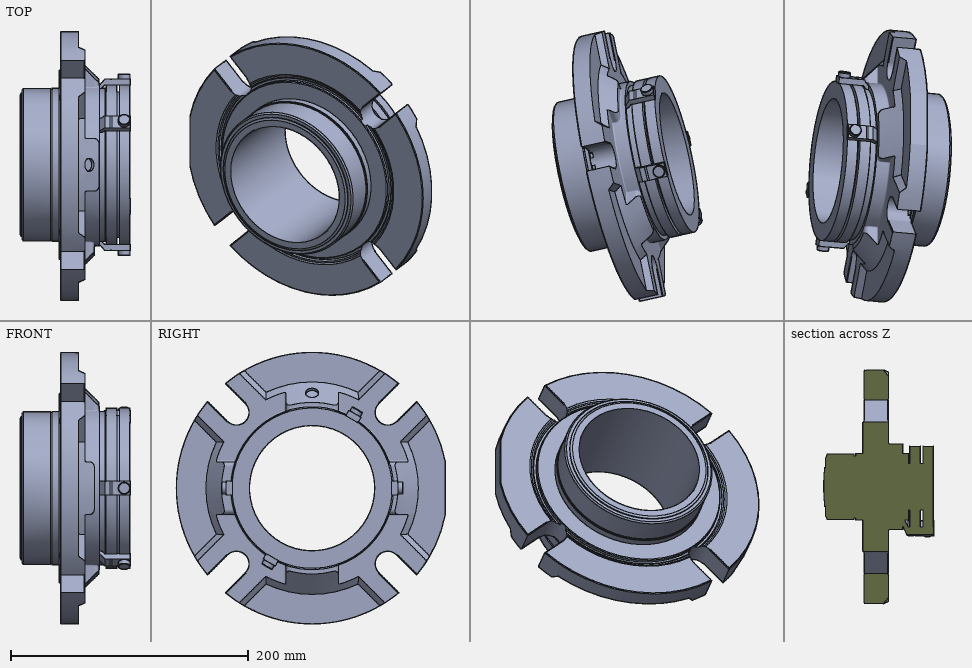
import cadquery as cq
import math


tolerance = 0.02

bore_radius = 52.5
sleeve_radius = 129.0 / 2
nut_radius = 128.5 / 2
sleeve_end_x = 71.5
nose_land_radius = 58.2
nose_radius = 60.3
nose_length = 1.5
nose_bevel = 0.7
shoulder_radius = 63.0
shoulder_bevel_length = 1.4
nut_end_x = 25.5
groove_width = 1.4
groove_radius = 63.7

flange_radius = 114.2
flange_front_x = 33.8
flange_back_x = 49.0
flange_bevel = 0.7
beyond_rim = 2 * flange_radius
flat_y = 112.0
pilot_radius = 158.7 / 2
pilot_front_x = 32.9
pilot_base_radius = 160.0 / 2
seal_groove_radius = 82.2
seal_groove_floor_x = 36.3
seal_groove_bevel = 1.1
recess_radius = 84.7
recess_bevel_radius = 86.0
recess_depth = 0.7

slot_count = 4
slot_width = 21.0
slot_centre_radius = 90.0
slot_bevel = 0.7
pad_back_x = 54.5
pad_base_width = 59.1
pad_top_width = 49.8

hub_root_x = 41.0
cone_base_radius = 89.3
collar_radius = 68.3
collar_end_x = 66.7
block_width = 44.3
block_end_x = 66.2
short_block_end_x = 62.3
block_corner_fillet = 4.0
block_foot_fillet = 1.1
port_diameter = 11.0
port_x = 58.2
port_depth = 2.7

ring_radius = 67.4
ring_starts = (72.5, 83.3)
ring_ends = (81.3, 92.3)
neck_radius = 122.6 / 2

clip_angles = (0, 60, 180, 240)
clip_width = 11.9
clip_inner_radius = 67.0
clip_outer_radius = 72.2
clip_bend_x = 71.2
clip_end_x = 92.7
clip_foot_x = 66.7
clip_foot_length = 1.4
clip_foot_sink = 0.7
clip_groove_start_x = 75.5
clip_groove_end_x = 77.2
clip_groove_depth = 0.2
screw_diameter = 10.0
screw_head_radius = 76.3
screw_x = 87.5
screw_bevel = 0.5


def revolve_profile(points):
    """Turn an (x, radius) outline about the X axis."""
    return cq.Workplane("XY").polyline(points).close().revolve(360, (0, 0, 0), (1, 0, 0))


def disc(start_x, end_x, radius):
    """Solid cylinder on the X axis."""
    return cq.Workplane("YZ").workplane(offset=start_x).circle(radius).extrude(end_x - start_x)


def turn(body, angle):
    """Turn a body about the X axis; zero is the +Y direction."""
    return body.rotate((0, 0, 0), (1, 0, 0), angle)


def slot_angles():
    step = 360 / slot_count
    return [step / 2 + step * i for i in range(slot_count)]


def make_sleeve():
    return revolve_profile([
        (0, 0),
        (0, nose_land_radius),
        (nose_bevel, nose_radius),
        (nose_length, nose_radius),
        (nose_length, shoulder_radius),
        (nose_length + shoulder_bevel_length, nut_radius),
        (nut_end_x, nut_radius),
        (nut_end_x, groove_radius),
        (nut_end_x + groove_width, groove_radius),
        (nut_end_x + groove_width, sleeve_radius),
        (sleeve_end_x, sleeve_radius),
        (sleeve_end_x, 0),
    ])


def make_pad():
    """Bar with sloping sides along +Y; it runs past the rim and is trimmed with the flange."""
    return cq.Workplane("XZ").polyline([
        (flange_back_x, -pad_base_width / 2),
        (pad_back_x, -pad_top_width / 2),
        (pad_back_x, pad_top_width / 2),
        (flange_back_x, pad_base_width / 2),
    ]).close().extrude(-beyond_rim)


def make_slot():
    """Open slot along +Y with a round inner end and bevelled straight edges."""
    half_width = slot_width / 2
    mouth_half_width = half_width + slot_bevel
    tip = cq.Workplane("YZ").center(slot_centre_radius, 0).circle(half_width).extrude(pad_back_x)
    run = cq.Workplane("XZ", origin=(0, slot_centre_radius, 0)).polyline([
        (flange_front_x, -mouth_half_width),
        (flange_front_x + slot_bevel, -half_width),
        (pad_back_x - slot_bevel, -half_width),
        (pad_back_x, -mouth_half_width),
        (pad_back_x, mouth_half_width),
        (pad_back_x - slot_bevel, half_width),
        (flange_front_x + slot_bevel, half_width),
        (flange_front_x, mouth_half_width),
    ]).close().extrude(-flange_radius)
    return tip.union(run)


def make_flange_blank():
    """Disc with a flat on the +Y side, a bevelled front rim and four pads on its back."""
    inside_flat = cq.Workplane("YZ").center(flat_y - beyond_rim / 2, 0)
    inside_flat = inside_flat.rect(beyond_rim, beyond_rim + flange_radius).extrude(pad_back_x)
    blank = disc(flange_front_x, pad_back_x, flange_radius).intersect(inside_flat)
    blank = blank.faces("<X").chamfer(flange_bevel)
    clearance = disc(flange_back_x, pad_back_x, beyond_rim)
    for angle in slot_angles():
        clearance = clearance.cut(turn(make_pad(), angle))
    return blank.cut(clearance)


def make_flange():
    recess_x = flange_front_x + recess_depth
    seal_recess = revolve_profile([
        (pilot_front_x, pilot_radius),
        (flange_front_x, pilot_base_radius),
        (seal_groove_floor_x, pilot_base_radius),
        (seal_groove_floor_x, seal_groove_radius),
        (recess_x + seal_groove_bevel, seal_groove_radius),
        (recess_x, seal_groove_radius + seal_groove_bevel),
        (recess_x, recess_radius),
        (flange_front_x, recess_bevel_radius),
        (pilot_front_x, recess_bevel_radius),
    ])
    pilot = disc(pilot_front_x, flange_back_x, recess_radius)
    return make_flange_blank().union(pilot).cut(seal_recess)


def cone_radius(x):
    """Radius of the 45 degree hub cone."""
    return cone_base_radius - (x - flange_back_x)


def make_block(end_x):
    """Bar with rounded end corners along +Y that marks out one hub block."""
    bar = cq.Workplane("YZ").workplane(offset=pad_back_x).center(flange_radius / 2, 0)
    bar = bar.rect(flange_radius, block_width).extrude(end_x - pad_back_x)
    return bar.edges(">X and |Y").fillet(block_corner_fillet)


def is_block_foot(edge):
    """True for an edge with an end on the collar, between the pads and the uncut collar's end face."""
    ends = (edge.startPoint(), edge.endPoint())
    inner_radius = min(math.hypot(point.y, point.z) for point in ends)
    near_x = min(point.x for point in ends)
    return pad_back_x - tolerance < near_x < collar_end_x and inner_radius < collar_radius + tolerance


def make_hub():
    """Hub cone cut back to the collar except at the blocks, whose feet are rounded."""
    uncut_end_x = collar_end_x + block_foot_fillet
    hub = revolve_profile([
        (hub_root_x, 0),
        (hub_root_x, cone_base_radius),
        (flange_back_x, cone_base_radius),
        (uncut_end_x, cone_radius(uncut_end_x)),
        (uncut_end_x, 0),
    ])
    clearance = disc(pad_back_x, uncut_end_x, flange_radius).cut(disc(0, uncut_end_x, collar_radius))
    for angle in (0, 90, 270):
        clearance = clearance.cut(turn(make_block(block_end_x), angle))
    clearance = clearance.cut(turn(make_block(short_block_end_x), 180))
    hub = hub.cut(clearance)
    hub = hub.edges().filter(is_block_foot).fillet(block_foot_fillet)
    return hub.intersect(disc(0, collar_end_x, flange_radius))


def make_port():
    """Hole square to the cone face of the top block."""
    outward = cq.Vector(1, 0, 1).normalized()
    mouth = cq.Vector(port_x, 0, cone_radius(port_x))
    plane = cq.Plane(origin=mouth.toTuple(), xDir=(0, 1, 0), normal=outward.toTuple())
    return cq.Workplane(plane).circle(port_diameter / 2).extrude(port_depth, both=True)


def make_drive_collar():
    collar = disc(nut_end_x, ring_ends[1], neck_radius)
    for start_x, end_x in zip(ring_starts, ring_ends):
        collar = collar.union(disc(start_x, end_x, ring_radius))
    return collar


def make_clip():
    """Strip with a foot bent down to the sleeve and a screw head on top, along +Y."""
    foot_radius = sleeve_radius - clip_foot_sink
    drop = clip_inner_radius - foot_radius
    strip = cq.Workplane("XY").workplane(offset=-clip_width / 2).polyline([
        (clip_foot_x, foot_radius),
        (clip_foot_x, clip_inner_radius),
        (clip_bend_x, clip_outer_radius),
        (clip_groove_start_x, clip_outer_radius),
        (clip_groove_start_x, clip_outer_radius - clip_groove_depth),
        (clip_groove_end_x, clip_outer_radius - clip_groove_depth),
        (clip_groove_end_x, clip_outer_radius),
        (clip_end_x, clip_outer_radius),
        (clip_end_x, clip_inner_radius),
        (clip_foot_x + clip_foot_length + drop, clip_inner_radius),
        (clip_foot_x + clip_foot_length, foot_radius),
    ]).close().extrude(clip_width)
    screw = cq.Workplane("XZ", origin=(screw_x, clip_inner_radius, 0)).circle(screw_diameter / 2)
    screw = screw.extrude(clip_inner_radius - screw_head_radius).faces(">Y").chamfer(screw_bevel)
    return strip.union(screw)


result = make_sleeve().union(make_flange()).union(make_hub()).union(make_drive_collar())
for slot_angle in slot_angles():
    result = result.cut(turn(make_slot(), slot_angle))
result = result.cut(make_port())
for clip_angle in clip_angles:
    result = result.union(turn(make_clip(), clip_angle))
result = result.cut(disc(0, clip_end_x, bore_radius))